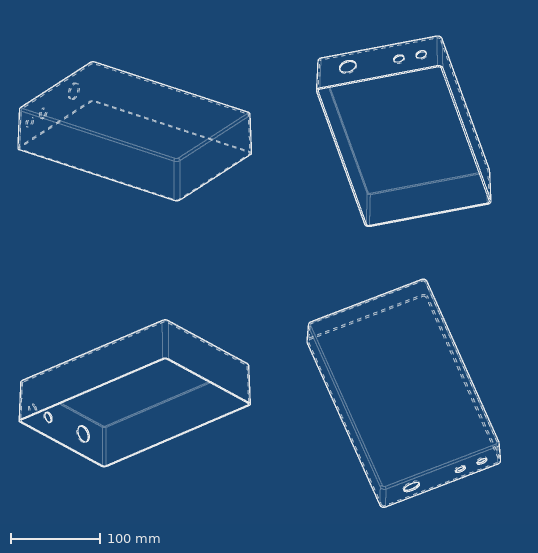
import cadquery as cq
import math

length = 222.0
width = 146.0
height = 51.0

draft_angle = 1.5
wall = 2.0
corner_radius = 4.9
top_edge_radius = 2.5
inner_corner_radius = corner_radius - wall
inner_top_edge_radius = 1.0

large_hole_diameter = 19.0
small_hole_diameter = 12.0
large_hole_height = 27.0
small_hole_height = 24.0
end_wall_holes = [
    (large_hole_diameter, 36.0, large_hole_height),
    (small_hole_diameter, -23.0, small_hole_height),
    (small_hole_diameter, -49.0, small_hole_height),
]


def drafted_block(size_x, size_y, size_z, side_radius, top_radius):
    """Block on Z = 0 that narrows upward, with rounded corners and top edges."""
    block = cq.Workplane("XY").rect(size_x, size_y).extrude(size_z, taper=draft_angle)
    block = block.edges("not(#Z)").fillet(side_radius)
    return block.faces(">Z").edges().fillet(top_radius)


def end_wall_hole(diameter, y, z):
    """Cutter along X that passes through the -X wall and stops inside the cavity."""
    draft_inset = height * math.tan(math.radians(draft_angle))
    reach = 2 * (wall + draft_inset)
    profile = cq.Workplane("YZ", origin=(-length / 2, y, z)).circle(diameter / 2)
    return profile.extrude(reach)


outer = drafted_block(length, width, height, corner_radius, top_edge_radius)
cavity = drafted_block(
    length - 2 * wall,
    width - 2 * wall,
    height - wall,
    inner_corner_radius,
    inner_top_edge_radius,
)
result = outer.cut(cavity)

for diameter, y, z in end_wall_holes:
    result = result.cut(end_wall_hole(diameter, y, z))